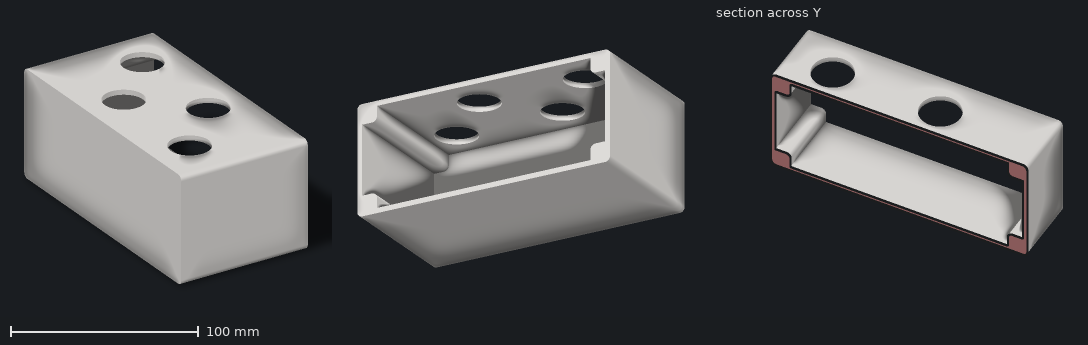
import cadquery as cq

LENGTH = 155.0
DEPTH = 80.0
HEIGHT = 65.0
EDGE_RADIUS = 3.0

WALL = 3.0

POST_SIZE = 12.0
POST_RADIUS = 3.0

HOLE_DIAMETER = 24.0
HOLE_PITCH = 32.5
HOLE_COUNT = 4


def make_body():
    """Solid block with its four long Y-direction edges rounded."""
    block = cq.Workplane("XY").box(LENGTH, DEPTH, HEIGHT)
    return block.edges("|Y").fillet(EDGE_RADIUS)


def make_post(x_side, z_side):
    """Corner post running along Y, with its edge toward the middle rounded."""
    x_inner = "<X" if x_side > 0 else ">X"
    z_inner = "<Z" if z_side > 0 else ">Z"
    post = cq.Workplane("XY").box(POST_SIZE, DEPTH, POST_SIZE)
    post = post.edges("|Y").edges(x_inner).edges(z_inner).fillet(POST_RADIUS)
    x_centre = x_side * (LENGTH - POST_SIZE) / 2
    z_centre = z_side * (HEIGHT - POST_SIZE) / 2
    return post.translate((x_centre, 0, z_centre))


def make_cavity():
    """Interior space between the posts, open at +Y and closed by a wall at -Y."""
    cavity = (
        cq.Workplane("XY")
        .box(LENGTH - 2 * WALL, DEPTH - WALL, HEIGHT - 2 * WALL)
        .translate((0, WALL / 2, 0))
    )
    for x_side in (-1, 1):
        for z_side in (-1, 1):
            cavity = cavity.cut(make_post(x_side, z_side))
    return cavity


def hole_centres():
    """Evenly pitched along X, alternating between the back and front row."""
    centres = []
    for index in range(HOLE_COUNT):
        x = (index - (HOLE_COUNT - 1) / 2) * HOLE_PITCH
        row_side = 1 if index % 2 == 0 else -1
        centres.append((x, row_side * HOLE_PITCH / 2))
    return centres


def make_top_holes():
    """Cylinders that pass through the top wall only."""
    return (
        cq.Workplane("XY")
        .workplane(offset=HEIGHT / 2 - WALL)
        .pushPoints(hole_centres())
        .circle(HOLE_DIAMETER / 2)
        .extrude(WALL)
    )


result = make_body().cut(make_cavity()).cut(make_top_holes())